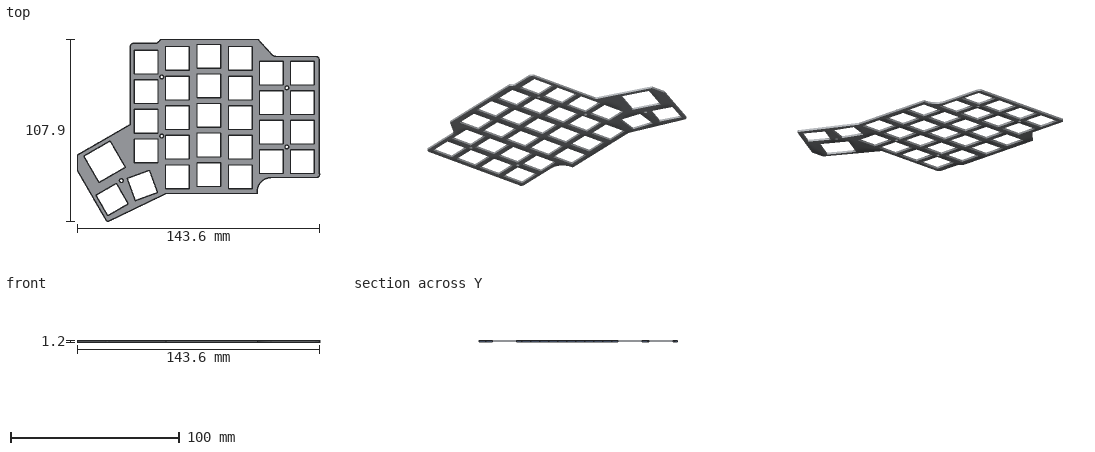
import cadquery as cq
import math

width = 143.6
height = 107.9
thickness = 1.2

key_size = 14.0
row_pitch = 17.5
first_column_x = 40.6
inner_columns_span = 55.9
inner_column_pitch = inner_columns_span / 3
outer_column_pitch = 18.4
left_column_top_y = 94.4
neighbour_column_top_y = 96.5
middle_column_top_y = 97.8
outer_column_top_y = 87.9

column_2_x = first_column_x + inner_column_pitch
column_3_x = column_2_x + inner_column_pitch
column_4_x = column_3_x + inner_column_pitch
column_5_x = column_4_x + outer_column_pitch
column_6_x = column_5_x + outer_column_pitch

key_columns = [
    (first_column_x, left_column_top_y, 4),
    (column_2_x, neighbour_column_top_y, 5),
    (column_3_x, middle_column_top_y, 5),
    (column_4_x, neighbour_column_top_y, 5),
    (column_5_x, outer_column_top_y, 4),
    (column_6_x, outer_column_top_y, 4),
]

thumb_angle = 30.0
inner_thumb_angle = 20.0
large_thumb_size = 18.0
thumb_keys = [
    ((16.1, 35.3), large_thumb_size, thumb_angle),
    ((20.5, 12.9), key_size, thumb_angle),
    ((38.5, 21.3), key_size, inner_thumb_angle),
]

screw_diameter = 2.2
thumb_screw = (26.0, 24.1)

left_edge_x = 31.2
left_edge_top_y = 105.5
step_start_x = 46.7
step_end_x = 49.3
step_sag = 0.3
slope_top_x = 107.0
slope_bottom_x = 116.2
wing_right_x = 143.3
wing_top_y = 97.8
wing_bottom_y = 25.9
lip_y = 28.2
main_right_x = 106.6
main_bottom_y = 16.4
thumb_edge_end_x = 52.4
thumb_tip_y = -0.5
thumb_left_low_y = 30.0
thumb_left_high_y = 39.4

thumb_tip_radius = 1.5
corner_radius = 2.2
slope_blend_radius = 3.6
wing_blend_radius = 8.2

thumb_slope = math.tan(math.radians(thumb_angle))
thumb_tip_x = (thumb_left_low_y - thumb_tip_y) * thumb_slope
left_edge_bottom_y = thumb_left_high_y + left_edge_x * thumb_slope


def make_blank():
    """Solid plate with rounded corners and a small concave step in its top edge."""
    blank = (
        cq.Workplane("XY")
        .moveTo(left_edge_x, left_edge_bottom_y)
        .lineTo(left_edge_x, left_edge_top_y)
        .lineTo(step_start_x, left_edge_top_y)
        .sagittaArc((step_end_x, height), -step_sag)
        .lineTo(slope_top_x, height)
        .lineTo(slope_bottom_x, wing_top_y)
        .lineTo(wing_right_x, wing_top_y)
        .lineTo(wing_right_x, lip_y)
        .lineTo(width, lip_y)
        .lineTo(width, wing_bottom_y)
        .lineTo(main_right_x, wing_bottom_y)
        .lineTo(main_right_x, main_bottom_y)
        .lineTo(thumb_edge_end_x, main_bottom_y)
        .lineTo(thumb_tip_x, thumb_tip_y)
        .lineTo(0, thumb_left_low_y)
        .lineTo(0, thumb_left_high_y)
        .close()
        .extrude(thickness)
    )
    rounded_corners = [
        (left_edge_x, left_edge_top_y, corner_radius),
        (slope_bottom_x, wing_top_y, slope_blend_radius),
        (wing_right_x, wing_top_y, corner_radius),
        (width, wing_bottom_y, corner_radius),
        (main_right_x, wing_bottom_y, wing_blend_radius),
        (thumb_tip_x, thumb_tip_y, thumb_tip_radius),
    ]
    for x, y, radius in rounded_corners:
        corner = cq.selectors.NearestToPointSelector((x, y, thickness / 2))
        blank = blank.edges("|Z").edges(corner).fillet(radius)
    return blank


def square_cutter(center, size, angle=0.0):
    """Square prism through the plate, turned about its own centre."""
    return (
        cq.Workplane("XY")
        .transformed(offset=cq.Vector(*center, 0), rotate=cq.Vector(0, 0, angle))
        .rect(size, size)
        .extrude(thickness)
    )


def cut_key_openings(plate):
    for x, top_y, key_count in key_columns:
        for row in range(key_count):
            plate = plate.cut(square_cutter((x, top_y - row * row_pitch), key_size))
    for center, size, angle in thumb_keys:
        plate = plate.cut(square_cutter(center, size, angle))
    return plate


def cut_screw_holes(plate):
    """Holes between the outer column pairs, two rows apart, and one in the thumb cluster."""
    left_x = (first_column_x + column_2_x) / 2
    right_x = (column_5_x + column_6_x) / 2
    centers = [thumb_screw]
    for x, top_key_y in [(left_x, left_column_top_y), (right_x, outer_column_top_y)]:
        upper_y = top_key_y - row_pitch / 2
        centers += [(x, upper_y), (x, upper_y - 2 * row_pitch)]
    holes = cq.Workplane("XY").pushPoints(centers).circle(screw_diameter / 2).extrude(thickness)
    return plate.cut(holes)


result = cut_screw_holes(cut_key_openings(make_blank()))